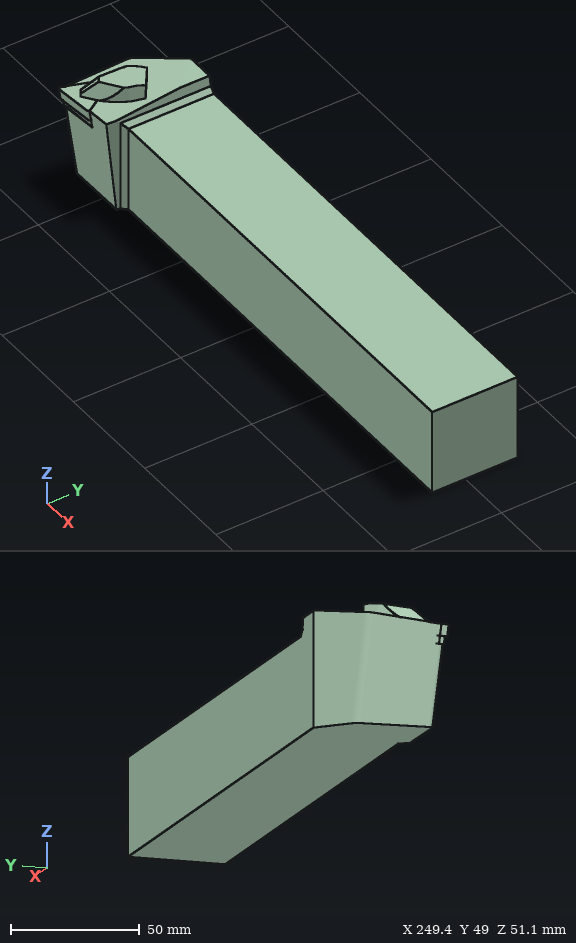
import cadquery as cq
import math


overall_length = 249.43
shank_size = 40.0
nose_offset = 9.0
head_height = 46.85
envelope_margin = 20.0

neck_end_x = 36.2
neck_chamfer = 2.3
shoulder_slope = 0.2

tip_height = 40.3
seat_slope = 0.096

insert_overhang = 0.9
side_angle = 4.5
diagonal_offset = 28.5
nose_corner_radius = 1.7
diagonal_corner_radius = 5.0

insert_inscribed_diameter = 12.7
insert_thickness = 4.76
insert_corner_radius = 0.8
insert_lead = 1.0
shim_thickness = 3.18
shim_inset = 0.6
shim_corner_radius = 0.8

clamp_nose_x = 9.2
clamp_nose_y = 4.6
clamp_angle = 54.0
clamp_length = 25.8
clamp_height = 6.23
clamp_draft = 8.0
clamp_nose_half_width = 1.8
clamp_flare_end = 7.0
clamp_flare_half_width = 5.4
clamp_bulge = 13.5
clamp_bulge_half_width = 7.3
clamp_shoulder = 20.0
clamp_shoulder_half_width = 7.8
clamp_rear_half_width = 6.6
clamp_bevel_angle = 31.0
clamp_nose_height = 0.8
clamp_top_start = 8.0
clamp_ridge = 23.8
clamp_rear_drop = 0.6
clamp_rear_overhang = 0.8

seat = cq.Plane(
    origin=(0, -nose_offset, tip_height),
    xDir=(1, 0, seat_slope),
    normal=(-seat_slope, -seat_slope, 1),
)


def neck_points(base, top, floor):
    """Closed profile of shank, neck and head.

    `floor` is the common side, `base` the shank's level and `top` the head's level above it.
    """
    shoulder_x = neck_end_x - neck_chamfer
    shoulder_rise = top - base - neck_chamfer
    return [
        (-envelope_margin, floor),
        (overall_length, floor),
        (overall_length, base),
        (neck_end_x, base),
        (shoulder_x, base + neck_chamfer),
        (shoulder_x - shoulder_slope * shoulder_rise, top),
        (-envelope_margin, top),
    ]


def side_prism():
    """Shank, neck and head as seen along Y."""
    profile = cq.Workplane("XZ").polyline(neck_points(shank_size, head_height, 0)).close()
    return profile.extrude(2 * shank_size, both=True)


def plan_prism():
    """Shank, neck and head as seen along Z; the head grows towards -Y."""
    points = neck_points(0, nose_offset, -shank_size)
    mirrored = [(x, -y) for x, y in points]
    return cq.Workplane("XY").polyline(mirrored).close().extrude(2 * shank_size)


def head_prism():
    """Everything below the seat plane and inside the head's relieved flanks."""
    side_lean = math.tan(math.radians(side_angle))
    corner = insert_overhang
    diagonal_x = (corner + side_lean * (diagonal_offset - corner)) / (1 - side_lean)
    diagonal_y = diagonal_x + diagonal_offset
    far_x = overall_length + envelope_margin
    far_y = shank_size + nose_offset + envelope_margin
    prism = (
        cq.Workplane(seat)
        .polyline([
            (corner, corner),
            (far_x, corner),
            (far_x, far_y),
            (far_y - diagonal_offset, far_y),
            (diagonal_x, diagonal_y),
        ])
        .close()
        .extrude(-2 * shank_size)
    )
    prism = round_flank_edge(prism, (corner, corner), nose_corner_radius)
    return round_flank_edge(prism, (diagonal_x, diagonal_y), diagonal_corner_radius)


def round_flank_edge(prism, corner, radius):
    """Round the flank edge that passes through an outline corner."""
    middle = seat.toWorldCoords((*corner, -shank_size))
    return prism.edges(cq.selectors.NearestToPointSelector(middle.toTuple())).fillet(radius)


def triangle_prism(inset, corner_radius, top, thickness):
    """Equilateral prism concentric with the insert; `top` is its level from the seat plane."""
    insert_inradius = insert_inscribed_diameter / 2
    centre_to_nose = 2 * (insert_inradius - insert_corner_radius)
    half_corner_angle = 30
    bisector = math.radians(half_corner_angle + insert_lead)
    prism = (
        cq.Workplane(seat)
        .workplane(offset=top)
        .center(
            insert_corner_radius + centre_to_nose * math.cos(bisector),
            insert_corner_radius + centre_to_nose * math.sin(bisector),
        )
        .transformed(rotate=(0, 0, 90 + insert_lead))
        .polygon(3, 4 * (insert_inradius - inset))
        .extrude(-thickness)
    )
    if corner_radius:
        prism = prism.edges(cq.selectors.ParallelDirSelector(seat.zDir)).fillet(corner_radius)
    return prism


def make_clamp():
    """Flared finger with drafted flanks, trimmed to its side profile."""
    clamp_origin = seat.toWorldCoords((clamp_nose_x, clamp_nose_y, 0))
    angle = math.radians(clamp_angle)
    axis = seat.xDir * math.cos(angle) + seat.yDir * math.sin(angle)
    base = cq.Plane(origin=clamp_origin, xDir=axis, normal=seat.zDir)
    across = cq.Plane(origin=clamp_origin, xDir=axis, normal=axis.cross(seat.zDir))
    rear = clamp_length + clamp_height
    finger = (
        cq.Workplane(base)
        .moveTo(0, -clamp_nose_half_width)
        .lineTo(clamp_flare_end, -clamp_flare_half_width)
        .threePointArc((clamp_bulge, -clamp_bulge_half_width), (clamp_shoulder, -clamp_shoulder_half_width))
        .lineTo(clamp_length, -clamp_rear_half_width)
        .lineTo(rear, -clamp_rear_half_width)
        .lineTo(rear, clamp_rear_half_width)
        .lineTo(clamp_length, clamp_rear_half_width)
        .lineTo(clamp_shoulder, clamp_shoulder_half_width)
        .threePointArc((clamp_bulge, clamp_bulge_half_width), (clamp_flare_end, clamp_flare_half_width))
        .lineTo(0, clamp_nose_half_width)
        .close()
        .extrude(clamp_height, taper=clamp_draft)
    )
    flare_slope = (clamp_flare_half_width - clamp_nose_half_width) / clamp_flare_end
    wedge_apex = -clamp_nose_half_width / flare_slope
    wedge_end = 2 * rear
    wedge_half_width = clamp_nose_half_width + flare_slope * wedge_end
    wedge = (
        cq.Workplane(base)
        .polyline([(wedge_apex, 0), (wedge_end, -wedge_half_width), (wedge_end, wedge_half_width)])
        .close()
        .extrude(clamp_height, taper=clamp_bevel_angle)
    )
    side = (
        cq.Workplane(across)
        .polyline([
            (0, 0),
            (0, clamp_nose_height),
            (clamp_top_start, clamp_height),
            (clamp_ridge, clamp_height),
            (clamp_length + clamp_rear_overhang, clamp_height - clamp_rear_drop),
            (clamp_length, 0),
        ])
        .close()
        .extrude(clamp_length, both=True)
    )
    return finger.intersect(wedge).intersect(side)


insert = triangle_prism(0, insert_corner_radius, 0, insert_thickness)

pocket = triangle_prism(0, 0, 0, insert_thickness + shim_thickness)
shim = triangle_prism(shim_inset, shim_corner_radius, -insert_thickness, shim_thickness)
holder = side_prism().intersect(plan_prism()).intersect(head_prism())
holder = holder.cut(pocket).union(shim).union(make_clamp())

result = cq.Compound.makeCompound([holder.val(), insert.val()])